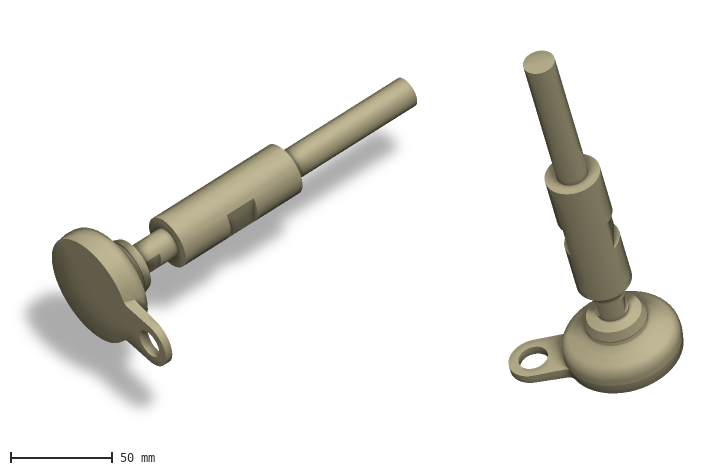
import cadquery as cq
import math

TOTAL_LENGTH = 203.0

SPINDLE_DIAMETER = 16.0
SPINDLE_ACROSS_FLATS = 12.8
SPINDLE_FLAT_START = 30.2
SPINDLE_FLAT_LENGTH = 9.0

SLEEVE_DIAMETER = 28.0
SLEEVE_START = 49.5
SLEEVE_LENGTH = 75.0
SLEEVE_ACROSS_FLATS = 22.0
SLEEVE_FLAT_LENGTH = 17.3

BASE_RADIUS = 29.2
RIM_RADIUS = 30.0
RIM_HEIGHT = 6.0
SHOULDER_RADIUS = 29.8
SHOULDER_START_HEIGHT = 9.1
BELL_RADIUS = 25.2
BELL_HEIGHT = 15.2
FLARE_RADIUS = 15.6
FLARE_HEIGHT = 19.5
NECK_RADIUS = 14.8
NECK_HEIGHT = 21.0
COLLAR_RADIUS = 15.6
COLLAR_BOTTOM = 22.3
COLLAR_TOP_RADIUS = 14.0
COLLAR_TOP = 27.2
CAP_RADIUS = 9.3
CAP_TOP = 28.8

LUG_RADIUS = 12.5
LUG_TIP_X = 57.9
LUG_CENTRE_X = LUG_TIP_X - LUG_RADIUS
LUG_HOLE_DIAMETER = 15.0
LUG_ROOT_HEIGHT = 5.7
LUG_TIP_HEIGHT = 4.0
LUG_ROOT_FILLET = 4.0


def cylinder(diameter, start, length):
    """Cylinder along +Y, starting at Y = start."""
    return cq.Workplane("XZ", origin=(0, start, 0)).circle(diameter / 2).extrude(-length)


def cut_flats(body, diameter, across_flats, start, length):
    """Cut two opposite wrench flats, facing -X and +X."""
    depth = (diameter - across_flats) / 2
    for side in (-1, 1):
        cutter = cq.Workplane("XY").box(2 * depth, length, diameter)
        body = body.cut(cutter.translate((side * (across_flats / 2 + depth), start + length / 2, 0)))
    return body


def make_bell():
    """Revolved foot: tapered skirt, rounded shoulder, flared neck and sealing collar."""
    return (
        cq.Workplane("XY")
        .lineTo(BASE_RADIUS, 0)
        .lineTo(RIM_RADIUS, RIM_HEIGHT)
        .lineTo(SHOULDER_RADIUS, SHOULDER_START_HEIGHT)
        .tangentArcPoint((BELL_RADIUS, BELL_HEIGHT), relative=False)
        .tangentArcPoint((FLARE_RADIUS, FLARE_HEIGHT), relative=False)
        .lineTo(NECK_RADIUS, NECK_HEIGHT)
        .lineTo(NECK_RADIUS, COLLAR_BOTTOM)
        .lineTo(COLLAR_RADIUS, COLLAR_BOTTOM)
        .lineTo(COLLAR_TOP_RADIUS, COLLAR_TOP)
        .lineTo(CAP_RADIUS, CAP_TOP)
        .lineTo(0, CAP_TOP)
        .close()
        .revolve(360, (0, 0, 0), (0, 1, 0))
    )


def make_lug():
    """Rounded lug on the +X side, its top sloping down to the tip, blended into the base disc."""
    fillet_z = LUG_RADIUS + LUG_ROOT_FILLET
    fillet_distance = BASE_RADIUS + LUG_ROOT_FILLET
    fillet_x = math.sqrt(fillet_distance**2 - fillet_z**2)
    angle = math.atan2(fillet_z, fillet_x)
    disc_x = BASE_RADIUS * math.cos(angle)
    disc_z = BASE_RADIUS * math.sin(angle)
    middle_angle = (angle + math.pi / 2) / 2
    middle_x = fillet_x - LUG_ROOT_FILLET * math.cos(middle_angle)
    middle_z = fillet_z - LUG_ROOT_FILLET * math.sin(middle_angle)

    outline = (
        cq.Workplane("XZ")
        .lineTo(disc_x, disc_z)
        .threePointArc((middle_x, middle_z), (fillet_x, LUG_RADIUS))
        .lineTo(LUG_CENTRE_X, LUG_RADIUS)
        .threePointArc((LUG_TIP_X, 0), (LUG_CENTRE_X, -LUG_RADIUS))
        .lineTo(fillet_x, -LUG_RADIUS)
        .threePointArc((middle_x, -middle_z), (disc_x, -disc_z))
        .close()
        .extrude(-LUG_ROOT_HEIGHT)
    )
    side_profile = (
        cq.Workplane("XY")
        .lineTo(LUG_TIP_X, 0)
        .lineTo(LUG_TIP_X, LUG_TIP_HEIGHT)
        .lineTo(BASE_RADIUS, LUG_ROOT_HEIGHT)
        .lineTo(0, LUG_ROOT_HEIGHT)
        .close()
        .extrude(BASE_RADIUS, both=True)
    )
    hole = cylinder(LUG_HOLE_DIAMETER, 0, LUG_ROOT_HEIGHT).translate((LUG_CENTRE_X, 0, 0))
    return outline.intersect(side_profile).cut(hole)


def make_foot_with_spindle():
    spindle = cylinder(SPINDLE_DIAMETER, CAP_TOP, TOTAL_LENGTH - CAP_TOP)
    spindle = cut_flats(
        spindle, SPINDLE_DIAMETER, SPINDLE_ACROSS_FLATS, SPINDLE_FLAT_START, SPINDLE_FLAT_LENGTH
    )
    return make_bell().union(make_lug()).union(spindle)


def make_sleeve():
    """Adjusting sleeve around the spindle, with wrench flats at mid-length."""
    sleeve = cylinder(SLEEVE_DIAMETER, SLEEVE_START, SLEEVE_LENGTH)
    flat_start = SLEEVE_START + (SLEEVE_LENGTH - SLEEVE_FLAT_LENGTH) / 2
    sleeve = cut_flats(sleeve, SLEEVE_DIAMETER, SLEEVE_ACROSS_FLATS, flat_start, SLEEVE_FLAT_LENGTH)
    return sleeve.cut(cylinder(SPINDLE_DIAMETER, SLEEVE_START, SLEEVE_LENGTH))


foot_with_spindle = make_foot_with_spindle()
sleeve = make_sleeve()

result = cq.Compound.makeCompound([foot_with_spindle.val(), sleeve.val()])